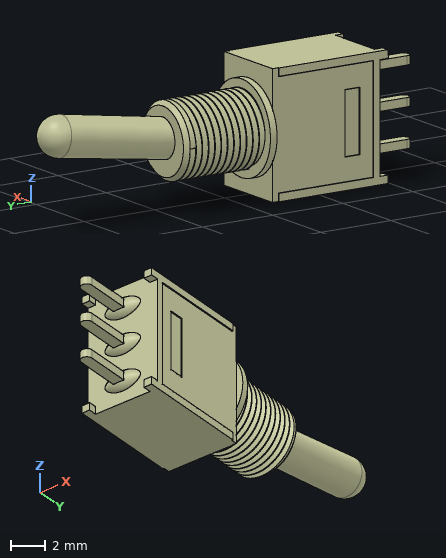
import cadquery as cq
import math


overall_length = 26.3

case_width = 5.2
case_height = 8.12
case_length = 7.62
cover_wall = 0.53
core_inset = 0.08
front_lip = 0.42
rear_rim = 0.47
foot_width = 0.58
foot_length = 0.58
slot_width = 1.05
slot_height = 4.07
slot_depth = 0.08
slot_center_y = -5.7

washer_radius = 3.0
washer_thickness = 0.47
bushing_radius = 2.45
bushing_end = 6.1
bushing_chamfer = 0.3
thread_length = 5.05
thread_turns = 11.2
thread_pitch = thread_length / thread_turns
thread_depth = 0.35
thread_crest = 0.05
thread_overshoot = 0.08
thread_start = 5.63

lever_angle = 9.0
lever_tip_radius = 1.31
lever_neck_radius = 1.25
lever_pivot_y = 4.85
lever_tip_y = 14.83

terminal_row = 5.07
terminal_pitch = terminal_row / 2
terminal_width = 0.8
terminal_thickness = 0.58
terminal_tip_y = lever_tip_y - overall_length
bead_width = 2.65
bead_thickness = 1.4
bead_rise = 0.47


def block(x_size, z_size, y_front, y_rear):
    """Box centered on X and Z, from y_front back to y_rear."""
    middle = (y_front + y_rear) / 2
    return cq.Workplane("XY").box(x_size, y_front - y_rear, z_size).translate((0, middle, 0))


def cylinder(radius, y_front, y_rear):
    return cq.Workplane("XZ", origin=(0, y_front, 0)).circle(radius).extrude(y_front - y_rear)


def make_case():
    """Cover with recessed side panels, a slot in each panel and four corner feet."""
    case = block(case_width, case_height, -front_lip, -case_length)
    case = case.union(block(case_width - 2 * core_inset, case_height, 0, -front_lip))

    panel_height = case_height - 2 * cover_wall
    panel = block(core_inset, panel_height, -front_lip, rear_rim - case_length)
    slot_front = slot_center_y + slot_width / 2
    slot_rear = slot_center_y - slot_width / 2
    slot = block(slot_depth, slot_height, slot_front, slot_rear)
    foot = block(foot_width, cover_wall, -case_length, -case_length - foot_length)
    for side in (-1, 1):
        case = case.cut(panel.translate((side * (case_width - core_inset) / 2, 0, 0)))
        case = case.cut(slot.translate((side * (case_width / 2 - core_inset - slot_depth / 2), 0, 0)))
        for end in (-1, 1):
            foot_x = side * (case_width - foot_width) / 2
            foot_z = end * (case_height - cover_wall) / 2
            case = case.union(foot.translate((foot_x, 0, foot_z)))
    return case


def make_bushing():
    bushing = cylinder(bushing_radius, bushing_end, 0).faces(">Y").chamfer(bushing_chamfer)
    helix = cq.Wire.makeHelix(thread_pitch, thread_length, bushing_radius)
    slope = (thread_pitch - thread_crest) / 2 / thread_depth
    mouth = slope * (thread_depth + thread_overshoot)
    groove = (
        cq.Workplane("XZ")
        .polyline([
            (bushing_radius - thread_depth, 0),
            (bushing_radius + thread_overshoot, mouth),
            (bushing_radius + thread_overshoot, -mouth),
        ])
        .close()
        .sweep(cq.Workplane(obj=helix), isFrenet=True)
    )
    thread_frame = cq.Plane(origin=(0, thread_start, 0), xDir=(-1, 0, 0), normal=(0, -1, 0))
    groove = groove.val().moved(cq.Location(thread_frame))
    return bushing.cut(cq.Workplane(obj=groove))


def make_lever():
    angle = math.radians(lever_angle)
    dome_y = lever_tip_y - lever_tip_radius
    length = (dome_y - lever_pivot_y) / math.cos(angle)
    profile = (
        cq.Workplane("XY")
        .moveTo(0, 0)
        .lineTo(lever_neck_radius, 0)
        .lineTo(lever_tip_radius, length)
        .radiusArc((0, length + lever_tip_radius), -lever_tip_radius)
        .close()
    )
    lever = profile.revolve(360, (0, 0, 0), (0, 1, 0))
    return lever.rotate((0, 0, 0), (1, 0, 0), lever_angle).translate((0, lever_pivot_y, 0))


def make_terminal():
    """Round-ended pin with a spindle-shaped sealing bead where it leaves the case."""
    tip_radius = terminal_width / 2
    pin = block(terminal_width, terminal_thickness, -case_length + bead_rise, terminal_tip_y + tip_radius)
    tip = cq.Workplane("XY", origin=(0, terminal_tip_y + tip_radius, -terminal_thickness / 2))
    pin = pin.union(tip.circle(tip_radius).extrude(terminal_thickness))

    spindle_radius = ((bead_thickness / 2) ** 2 + bead_rise ** 2) / (2 * bead_rise)
    axis_depth = spindle_radius - bead_rise
    arc_radius = ((bead_width / 2) ** 2 + bead_rise ** 2) / (2 * bead_rise)
    drop = arc_radius - spindle_radius
    half_length = math.sqrt(arc_radius ** 2 - drop ** 2)
    bead = (
        cq.Workplane("XY")
        .moveTo(-half_length, 0)
        .threePointArc((0, spindle_radius), (half_length, 0))
        .close()
        .revolve(360, (0, 0, 0), (1, 0, 0))
        .translate((0, axis_depth - case_length, 0))
    )
    return pin.union(bead)


result = make_bushing().union(cylinder(washer_radius, washer_thickness, 0))
result = result.union(make_lever()).union(make_case())
for row in (-1, 0, 1):
    result = result.union(make_terminal().translate((0, 0, row * terminal_pitch)))